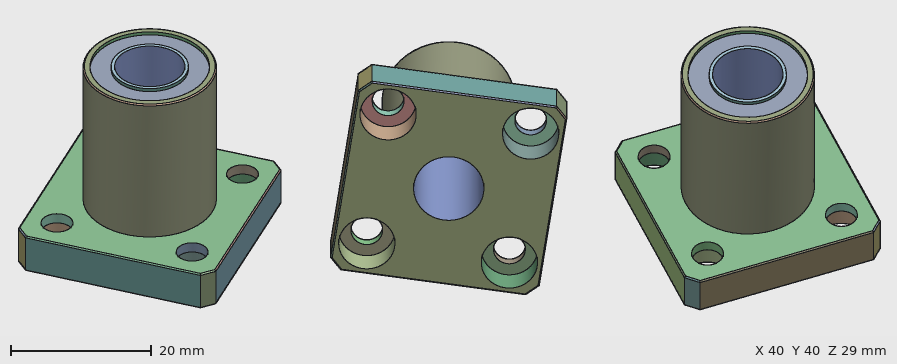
import cadquery as cq

flange_side = 30.0
flange_across_corners = 40.0
flange_thickness = 6.0
edge_chamfer = 0.2

sleeve_diameter = 19.0
total_height = 29.0
bore_diameter = 10.0

recess_outer_diameter = 17.0
recess_inner_diameter = 11.0
recess_depth = 0.5

hole_count = 4
hole_circle_diameter = 29.0
hole_diameter = 4.5
counterbore_diameter = 8.0
counterbore_depth = 4.4


def make_flange():
    square = (
        cq.Workplane("XY")
        .rect(flange_side, flange_side)
        .extrude(flange_thickness)
        .rotate((0, 0, 0), (0, 0, 1), 45)
    )
    corner_limits = (
        cq.Workplane("XY")
        .rect(flange_across_corners, flange_across_corners)
        .extrude(flange_thickness)
    )
    return square.intersect(corner_limits).faces("<Z or >Z").chamfer(edge_chamfer)


def make_sleeve():
    return (
        cq.Workplane("XY")
        .circle(sleeve_diameter / 2)
        .extrude(total_height)
        .faces(">Z")
        .chamfer(edge_chamfer)
    )


def make_bore():
    return cq.Workplane("XY").circle(bore_diameter / 2).extrude(total_height)


def make_end_recess():
    return (
        cq.Workplane("XY", origin=(0, 0, total_height))
        .circle(recess_outer_diameter / 2)
        .circle(recess_inner_diameter / 2)
        .extrude(-recess_depth)
    )


def make_mounting_holes():
    positions = cq.Workplane("XY").polarArray(hole_circle_diameter / 2, 0, 360, hole_count)
    holes = positions.circle(hole_diameter / 2).extrude(flange_thickness)
    counterbores = positions.circle(counterbore_diameter / 2).extrude(counterbore_depth)
    return holes.union(counterbores)


result = (
    make_flange()
    .union(make_sleeve())
    .cut(make_bore())
    .cut(make_end_recess())
    .cut(make_mounting_holes())
)